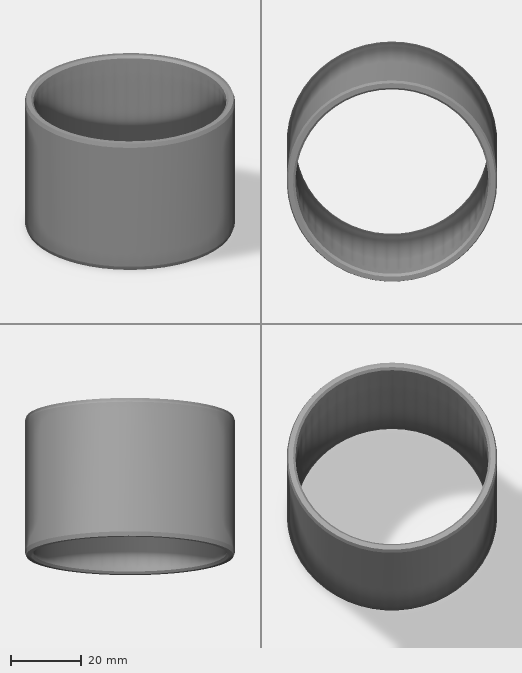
import cadquery as cq

outer_diameter = 60.0
bore_diameter = 55.0
length = 40.0

outer_chamfer_height = 1.2
outer_chamfer_depth = 0.4
bore_chamfer = 0.65

outer_radius = outer_diameter / 2
bore_radius = bore_diameter / 2
half_length = length / 2

wall_section = [
    (bore_radius, -half_length + bore_chamfer),
    (bore_radius + bore_chamfer, -half_length),
    (outer_radius - outer_chamfer_depth, -half_length),
    (outer_radius, -half_length + outer_chamfer_height),
    (outer_radius, half_length - outer_chamfer_height),
    (outer_radius - outer_chamfer_depth, half_length),
    (bore_radius + bore_chamfer, half_length),
    (bore_radius, half_length - bore_chamfer),
]

result = (
    cq.Workplane("XZ")
    .polyline(wall_section)
    .close()
    .revolve(360, (0, 0, 0), (0, 1, 0))
)